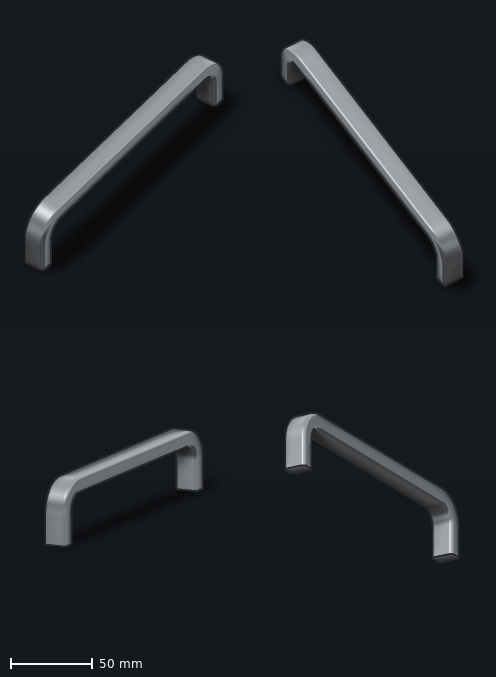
import cadquery as cq

length = 190.0
width = 15.0
height = 40.0

bar_thickness = 10.0
edge_radius = 2.5
outer_bend_radius = 20.0
bend_radius = outer_bend_radius - bar_thickness / 2

leg_y = length / 2 - bar_thickness / 2
grip_z = height - bar_thickness / 2
bend_start_z = grip_z - bend_radius
grip_end_y = leg_y - bend_radius

centreline = (
    cq.Workplane("YZ")
    .moveTo(-leg_y, 0)
    .lineTo(-leg_y, bend_start_z)
    .tangentArcPoint((-grip_end_y, grip_z), relative=False)
    .lineTo(grip_end_y, grip_z)
    .tangentArcPoint((leg_y, bend_start_z), relative=False)
    .lineTo(leg_y, 0)
)

section = cq.Sketch().rect(width, bar_thickness).vertices().fillet(edge_radius)

result = (
    cq.Workplane("XY", origin=(0, -leg_y, 0))
    .placeSketch(section)
    .sweep(centreline)
)